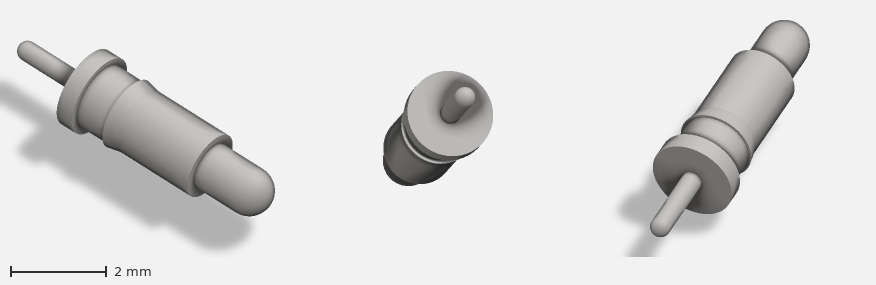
import cadquery as cq

total_length = 6.75
tail_diameter = 0.44
flange_diameter = 1.83
barrel_diameter = 1.5
barb_diameter = 1.635
plunger_diameter = 1.07

flange_start = 1.755
flange_thickness = 0.405
barb_start = 2.91
barb_length = 0.33
barrel_end = 5.15

tail_radius = tail_diameter / 2
plunger_radius = plunger_diameter / 2
barrel_length = barrel_end - flange_start
plunger_length = total_length - barrel_end


def cylinder(start, length, diameter):
    """Solid cylinder along +X beginning at start."""
    return cq.Workplane("YZ", origin=(start, 0, 0)).circle(diameter / 2).extrude(length)


def barb_ring():
    """Retention barb: square shoulder facing the flange, tapering down to the barrel."""
    barb_end = barb_start + barb_length
    profile = (
        cq.Workplane("XY")
        .moveTo(barb_start, 0)
        .lineTo(barb_start, barb_diameter / 2)
        .lineTo(barb_end, barrel_diameter / 2)
        .lineTo(barb_end, 0)
        .close()
    )
    return profile.revolve(360, (0, 0, 0), (1, 0, 0))


tail = cylinder(tail_radius, flange_start - tail_radius, tail_diameter)
tail_tip = cq.Workplane("XY").sphere(tail_radius).translate((tail_radius, 0, 0))

flange = cylinder(flange_start, flange_thickness, flange_diameter)
barrel = cylinder(flange_start, barrel_length, barrel_diameter)

plunger = cylinder(barrel_end, plunger_length - plunger_radius, plunger_diameter)
contact_center = total_length - plunger_radius
contact = cq.Workplane("XY").sphere(plunger_radius).translate((contact_center, 0, 0))

result = (
    barrel.union(flange)
    .union(barb_ring())
    .union(tail)
    .union(tail_tip)
    .union(plunger)
    .union(contact)
)